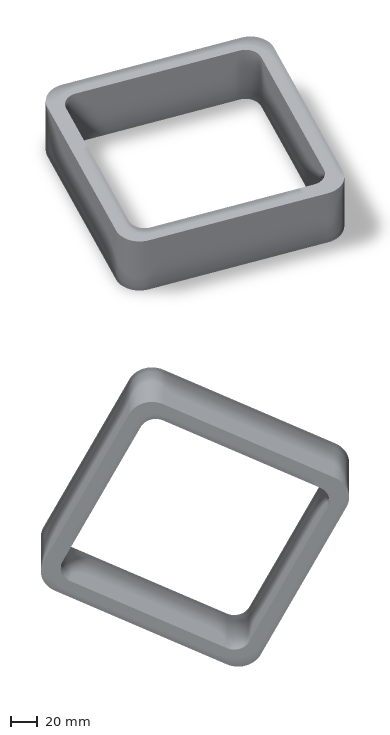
import cadquery as cq

outer_side = 180.0
height = 50.0
wall = 12.6
outer_corner_radius = 18.7
inner_corner_radius = 12.5

inner_side = outer_side - 2 * wall


def rounded_square_prism(side, corner_radius):
    """Upright square prism with rounded vertical edges, standing on Z = 0."""
    prism = cq.Workplane("XY").rect(side, side).extrude(height)
    return prism.edges("|Z").fillet(corner_radius)


outer_body = rounded_square_prism(outer_side, outer_corner_radius)
opening = rounded_square_prism(inner_side, inner_corner_radius)

result = outer_body.cut(opening)